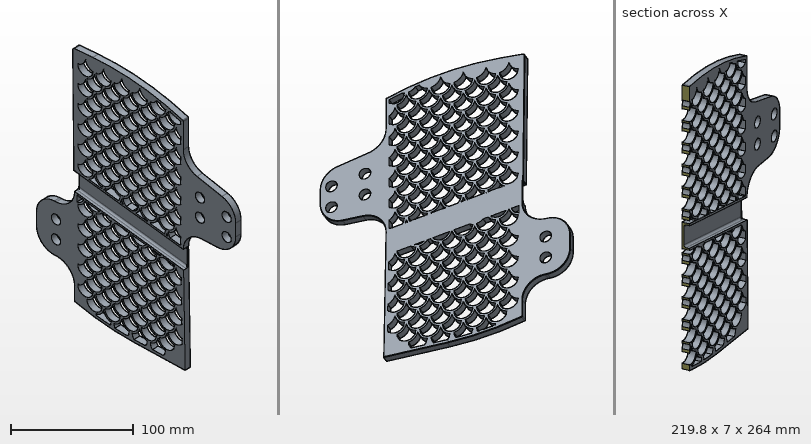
import math

import cadquery as cq

THICKNESS = 7.0
WIDTH = 219.75
HEIGHT = 263.96
BACK_CHAMFER = 0.5
FRONT_Y = -THICKNESS / 2

TOP_Z = HEIGHT / 2
BOTTOM_Z = -HEIGHT / 2
TOP_LEFT_X = -70.0
MIDDLE_LEFT_X = -68.7
LOWER_LEFT_X = -67.9
UPPER_RIGHT_X = 52.1
LOWER_RIGHT_X = 54.1
END_ARC_RADIUS = 259.0
TOP_APEX_X = -37.3
TOP_TANGENT_X = -47.7
BOTTOM_APEX_X = 2.7
BOTTOM_TANGENT_X = -2.0
TOP_CORNER_RADIUS = 2.5
END_CORNER_RADIUS = 1.0

GROOVE_TILT = -10.0
GROOVE_WIDTH = 20.0
GROOVE_DEPTH = 5.0
GROOVE_FLOOR_RADIUS = 2.0
GROOVE_CENTRE_X = (LOWER_LEFT_X + UPPER_RIGHT_X) / 2
GROOVE_CENTRE_Z = -11.9
WEB_END_RADIUS = 1.0

TAB_RADIUS = 20.0
RIGHT_TAB_X = WIDTH / 2
RIGHT_TAB_BOTTOM_Z = 7.7
RIGHT_TAB_ROOT_Z = 71.5
RIGHT_TAB_SLOPE = 14.0
LEFT_TAB_X = -WIDTH / 2
LEFT_TAB_TOP_Z = -31.6
LEFT_TAB_BOTTOM_Z = -85.5

HOLE_DIAMETER = 10.0
HOLE_SPACING = 20.0
HOLE_PAIRS = [(70.4, 38.1), (99.8, 32.8), (-88.3, -59.2)]

SCALE_PITCH = 20.0
HALF_PITCH = SCALE_PITCH / 2
SCALE_RADIUS = 8.25
RIB_RADIUS = 10.25
SCALE_FIRST_X = -56.0
SCALE_FIRST_Z = 117.5
SCALE_ROWS = 25
LONG_ROW_COUNT = 6
SHORT_ROW_COUNT = 5
LAST_ROW_SKIP = 1
EDGE_MARGIN = 3.0
GROOVE_MARGIN = 2.0


def arc_drop(x, apex_x):
    """Distance in Z between an end arc at x and its apex."""
    return END_ARC_RADIUS - math.sqrt(END_ARC_RADIUS**2 - (x - apex_x) ** 2)


def tangent_drop(x, apex_x, tangent_x):
    """Same distance on the straight line that leaves the arc at tangent_x."""
    reach = tangent_x - apex_x
    slope = reach / math.sqrt(END_ARC_RADIUS**2 - reach**2)
    return arc_drop(tangent_x, apex_x) + slope * (x - tangent_x)


def top_edge_z(x):
    """Height of the top edge at x."""
    if x < TOP_TANGENT_X:
        return TOP_Z - tangent_drop(x, TOP_APEX_X, TOP_TANGENT_X)
    return TOP_Z - arc_drop(x, TOP_APEX_X)


def bottom_edge_z(x):
    """Height of the bottom edge at x; its lowest point is the right corner."""
    apex_z = BOTTOM_Z - tangent_drop(LOWER_RIGHT_X, BOTTOM_APEX_X, BOTTOM_TANGENT_X)
    if x > BOTTOM_TANGENT_X:
        return apex_z + tangent_drop(x, BOTTOM_APEX_X, BOTTOM_TANGENT_X)
    return apex_z + arc_drop(x, BOTTOM_APEX_X)


def groove_edge_z(x, side):
    """Height of the upper (side=1) or lower (side=-1) groove edge at x."""
    tilt = math.radians(GROOVE_TILT)
    middle = GROOVE_CENTRE_Z + (x - GROOVE_CENTRE_X) * math.tan(tilt)
    return middle + side * GROOVE_WIDTH / 2 / math.cos(tilt)


def plane_at(y):
    """XZ sketch plane at depth y; extrusion goes toward +Y."""
    return cq.Workplane(cq.Plane(origin=(0, y, 0), xDir=(1, 0, 0), normal=(0, -1, 0)))


def extrude_back(sketch, depth=THICKNESS):
    return sketch.extrude(-depth)


def near(x, z):
    """Selector for the edge across the thickness that is closest to (x, z)."""
    return cq.selectors.NearestToPointSelector((x, 0, z))


def panel_outline():
    """Panel outline with sharp corners and without tabs."""
    step_z = groove_edge_z(MIDDLE_LEFT_X, 1)
    bend_z = groove_edge_z(UPPER_RIGHT_X, 1)
    bottom_mid_x = (LOWER_LEFT_X + BOTTOM_TANGENT_X) / 2
    return (
        plane_at(FRONT_Y)
        .moveTo(TOP_LEFT_X, top_edge_z(TOP_LEFT_X))
        .lineTo(TOP_TANGENT_X, top_edge_z(TOP_TANGENT_X))
        .threePointArc((TOP_APEX_X, TOP_Z), (UPPER_RIGHT_X, top_edge_z(UPPER_RIGHT_X)))
        .lineTo(UPPER_RIGHT_X, bend_z)
        .lineTo(LOWER_RIGHT_X, bottom_edge_z(LOWER_RIGHT_X))
        .lineTo(BOTTOM_TANGENT_X, bottom_edge_z(BOTTOM_TANGENT_X))
        .threePointArc(
            (bottom_mid_x, bottom_edge_z(bottom_mid_x)),
            (LOWER_LEFT_X, bottom_edge_z(LOWER_LEFT_X)),
        )
        .lineTo(LOWER_LEFT_X, step_z)
        .lineTo(MIDDLE_LEFT_X, step_z)
        .close()
    )


def right_tab():
    """Tab with a sloping top edge and two rounded outer corners."""
    slope = math.tan(math.radians(RIGHT_TAB_SLOPE))
    outer_top_z = RIGHT_TAB_ROOT_Z - (RIGHT_TAB_X - UPPER_RIGHT_X) * slope
    sketch = plane_at(FRONT_Y).polyline([
        (0, RIGHT_TAB_BOTTOM_Z),
        (RIGHT_TAB_X, RIGHT_TAB_BOTTOM_Z),
        (RIGHT_TAB_X, outer_top_z),
        (UPPER_RIGHT_X, RIGHT_TAB_ROOT_Z),
        (0, RIGHT_TAB_ROOT_Z),
    ]).close()
    tab = extrude_back(sketch)
    for z in (RIGHT_TAB_BOTTOM_Z, outer_top_z):
        tab = tab.edges("|Y").edges(near(RIGHT_TAB_X, z)).fillet(TAB_RADIUS)
    return tab


def left_tab():
    """Straight tab with two rounded outer corners."""
    sketch = plane_at(FRONT_Y).polyline([
        (0, LEFT_TAB_TOP_Z),
        (LEFT_TAB_X, LEFT_TAB_TOP_Z),
        (LEFT_TAB_X, LEFT_TAB_BOTTOM_Z),
        (0, LEFT_TAB_BOTTOM_Z),
    ]).close()
    return extrude_back(sketch).edges("|Y and <X").fillet(TAB_RADIUS)


def plate_blank():
    """Panel and tabs with all outline corners rounded and the back rim chamfered."""
    blank = extrude_back(panel_outline()).union(right_tab()).union(left_tab())
    corners = [
        (UPPER_RIGHT_X, RIGHT_TAB_ROOT_Z, TAB_RADIUS),
        (UPPER_RIGHT_X, RIGHT_TAB_BOTTOM_Z, TAB_RADIUS),
        (LOWER_LEFT_X, LEFT_TAB_TOP_Z, TAB_RADIUS),
        (LOWER_LEFT_X, LEFT_TAB_BOTTOM_Z, TAB_RADIUS),
        (TOP_LEFT_X, top_edge_z(TOP_LEFT_X), TOP_CORNER_RADIUS),
        (UPPER_RIGHT_X, top_edge_z(UPPER_RIGHT_X), END_CORNER_RADIUS),
        (LOWER_LEFT_X, bottom_edge_z(LOWER_LEFT_X), END_CORNER_RADIUS),
    ]
    for x, z, radius in corners:
        blank = blank.edges("|Y").edges(near(x, z)).fillet(radius)
    return blank.faces(">Y").edges().chamfer(BACK_CHAMFER)


def groove_bar(width, depth):
    """Bar running along the groove, sunk from the front by depth."""
    return (
        cq.Workplane("XY")
        .box(2 * WIDTH, depth, width, centered=(True, False, True))
        .rotate((0, 0, 0), (0, 1, 0), -GROOVE_TILT)
        .translate((GROOVE_CENTRE_X, FRONT_Y, GROOVE_CENTRE_Z))
    )


def groove():
    """Groove with rounded floor corners."""
    bar = groove_bar(GROOVE_WIDTH, GROOVE_DEPTH)
    floor_corners = bar.faces(">Y").edges(cq.selectors.LengthNthSelector(-1))
    return floor_corners.fillet(GROOVE_FLOOR_RADIUS)


def web_end_roundings():
    """Corner waste outside the rounded ends of the groove floor at the side edges."""
    floor_y = FRONT_Y + GROOVE_DEPTH
    arc_offset = WEB_END_RADIUS * (1 - math.sqrt(0.5))
    waste = cq.Workplane("XY")
    for x, inward in ((LOWER_LEFT_X, 1), (UPPER_RIGHT_X, -1)):
        corner = (
            cq.Workplane("XY")
            .moveTo(x, floor_y)
            .lineTo(x + inward * WEB_END_RADIUS, floor_y)
            .threePointArc(
                (x + inward * arc_offset, floor_y + arc_offset),
                (x, floor_y + WEB_END_RADIUS),
            )
            .close()
            .extrude(HEIGHT / 2, both=True)
        )
        waste = waste.add(corner)
    return waste.combine().intersect(groove_bar(GROOVE_WIDTH, THICKNESS))


def scale_opening(x, z):
    """Fish-scale prism: round below, two concave sides meeting in a tip on top."""
    diagonal = HALF_PITCH * math.sqrt(2)
    along = (SCALE_RADIUS**2 - RIB_RADIUS**2 + diagonal**2) / (2 * diagonal)
    across = math.sqrt(SCALE_RADIUS**2 - along**2)
    corner_x = (along + across) / math.sqrt(2)
    corner_z = (along - across) / math.sqrt(2)
    tip_z = HALF_PITCH - math.sqrt(RIB_RADIUS**2 - HALF_PITCH**2)
    rib_mid = HALF_PITCH - RIB_RADIUS / math.sqrt(2)
    sketch = (
        plane_at(FRONT_Y)
        .moveTo(x - corner_x, z + corner_z)
        .threePointArc((x, z - SCALE_RADIUS), (x + corner_x, z + corner_z))
        .threePointArc((x + rib_mid, z + rib_mid), (x, z + tip_z))
        .threePointArc((x - rib_mid, z + rib_mid), (x - corner_x, z + corner_z))
        .close()
    )
    return extrude_back(sketch).val()


def scale_centres():
    """Centres of all openings, in staggered rows from the top down."""
    centres = []
    for row in range(SCALE_ROWS):
        z = SCALE_FIRST_Z - row * HALF_PITCH
        short = row % 2 == 1
        first_x = SCALE_FIRST_X + (HALF_PITCH if short else 0)
        count = SHORT_ROW_COUNT if short else LONG_ROW_COUNT
        skip = LAST_ROW_SKIP if row == SCALE_ROWS - 1 else 0
        for column in range(skip, count - skip):
            centres.append((first_x + column * SCALE_PITCH, z))
        if short and abs(z - groove_edge_z(LOWER_LEFT_X, -1)) < HALF_PITCH / 2:
            centres.append((first_x - SCALE_PITCH, z))
    return centres


def perforation():
    """All scale openings, trimmed to the solid borders."""
    field = extrude_back(panel_outline().offset2D(-EDGE_MARGIN))
    field = field.cut(groove_bar(GROOVE_WIDTH + 2 * GROOVE_MARGIN, THICKNESS))
    openings = cq.Compound.makeCompound([scale_opening(x, z) for x, z in scale_centres()])
    return field.intersect(cq.Workplane(openings))


def mounting_holes():
    """Vertical pairs of round through holes in the tabs."""
    points = []
    for x, z in HOLE_PAIRS:
        points.append((x, z + HOLE_SPACING / 2))
        points.append((x, z - HOLE_SPACING / 2))
    return extrude_back(plane_at(FRONT_Y).pushPoints(points).circle(HOLE_DIAMETER / 2))


result = (
    plate_blank()
    .cut(groove())
    .cut(web_end_roundings())
    .cut(perforation())
    .cut(mounting_holes())
)